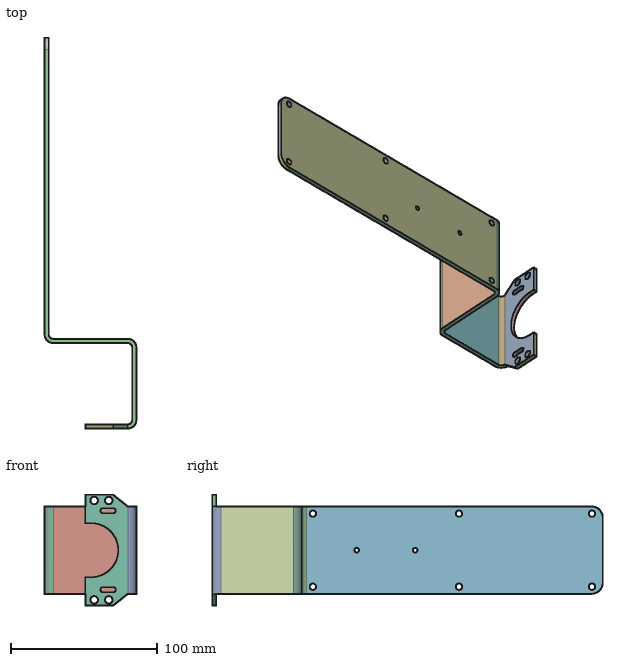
import cadquery as cq

SHEET = 3.0
INNER_BEND = 3.0
OUTER_BEND = INNER_BEND + SHEET

OVERALL_X = 63.0
OVERALL_Y = 267.5
STRIP_HEIGHT = 60.0
STEP_Y = 58.5
FLANGE_LEFT = 28.0

FLANGE_HEIGHT = 76.0
CHAMFER_START_X = 47.0
CHAMFER_END_X = OVERALL_X - OUTER_BEND
NOTCH_RADIUS = 18.5
NOTCH_CENTRE_X = 32.0
FLANGE_HOLE = 5.0
FLANGE_HOLES_X = (34.0, 44.0)
FLANGE_HOLE_Z = 34.0
SLOT_LENGTH = 10.5
SLOT_WIDTH = 3.5
SLOT_CENTRE_X = 43.5
SLOT_Z = 27.0

PLATE_CORNER_RADIUS = 8.0
MOUNT_HOLE = 4.2
MOUNT_HOLE_DISTANCES = (7.5, 98.5, 198.5)
MOUNT_HOLE_Z = 25.0
PILOT_HOLE = 3.0
PILOT_HOLE_DISTANCES = (128.5, 168.5)


def bent_strip():
    """Z-shaped strip with a returned front flange, with rounded bends."""
    step_back = STEP_Y + SHEET
    right_inner = OVERALL_X - SHEET
    strip = (
        cq.Workplane("XY")
        .workplane(offset=-STRIP_HEIGHT / 2)
        .moveTo(0, OVERALL_Y)
        .lineTo(0, STEP_Y)
        .lineTo(right_inner, STEP_Y)
        .lineTo(right_inner, SHEET)
        .lineTo(FLANGE_LEFT, SHEET)
        .lineTo(FLANGE_LEFT, 0)
        .lineTo(OVERALL_X, 0)
        .lineTo(OVERALL_X, step_back)
        .lineTo(SHEET, step_back)
        .lineTo(SHEET, OVERALL_Y)
        .close()
        .extrude(STRIP_HEIGHT)
    )
    outer_corners = ((0, STEP_Y), (OVERALL_X, step_back), (OVERALL_X, 0))
    inner_corners = ((SHEET, step_back), (right_inner, STEP_Y), (right_inner, SHEET))
    for corners, radius in ((outer_corners, OUTER_BEND), (inner_corners, INNER_BEND)):
        for x, y in corners:
            corner = cq.selectors.NearestToPointSelector((x, y, 0))
            strip = strip.edges("|Z").edges(corner).fillet(radius)
    return strip


def flange_ears():
    """Taller part of the front flange, with sloping corners towards the bend."""
    half_flange = FLANGE_HEIGHT / 2
    half_strip = STRIP_HEIGHT / 2
    return (
        cq.Workplane("XZ")
        .polyline(
            [
                (FLANGE_LEFT, -half_flange),
                (CHAMFER_START_X, -half_flange),
                (CHAMFER_END_X, -half_strip),
                (CHAMFER_END_X, half_strip),
                (CHAMFER_START_X, half_flange),
                (FLANGE_LEFT, half_flange),
            ]
        )
        .close()
        .extrude(-SHEET)
    )


def flange_cuts():
    """Round-ended notch, holes and slots through the front flange."""
    notch = (
        cq.Workplane("XZ")
        .moveTo(FLANGE_LEFT, NOTCH_RADIUS)
        .lineTo(NOTCH_CENTRE_X, NOTCH_RADIUS)
        .threePointArc((NOTCH_CENTRE_X + NOTCH_RADIUS, 0), (NOTCH_CENTRE_X, -NOTCH_RADIUS))
        .lineTo(FLANGE_LEFT, -NOTCH_RADIUS)
        .close()
        .extrude(-SHEET)
    )
    holes = (
        cq.Workplane("XZ")
        .pushPoints([(x, side * FLANGE_HOLE_Z) for x in FLANGE_HOLES_X for side in (-1, 1)])
        .circle(FLANGE_HOLE / 2)
        .extrude(-SHEET)
    )
    slots = (
        cq.Workplane("XZ")
        .pushPoints([(SLOT_CENTRE_X, side * SLOT_Z) for side in (-1, 1)])
        .slot2D(SLOT_LENGTH, SLOT_WIDTH)
        .extrude(-SHEET)
    )
    return notch.union(holes).union(slots)


def plate_holes(diameter, distances, heights):
    """Holes through the long plate at each distance from its far end and each height."""
    return (
        cq.Workplane("YZ")
        .pushPoints([(OVERALL_Y - distance, z) for distance in distances for z in heights])
        .circle(diameter / 2)
        .extrude(SHEET)
    )


bracket = bent_strip()
bracket = bracket.faces(">Y").edges("|X").fillet(PLATE_CORNER_RADIUS)
bracket = bracket.union(flange_ears()).cut(flange_cuts())
bracket = bracket.cut(plate_holes(MOUNT_HOLE, MOUNT_HOLE_DISTANCES, (-MOUNT_HOLE_Z, MOUNT_HOLE_Z)))
result = bracket.cut(plate_holes(PILOT_HOLE, PILOT_HOLE_DISTANCES, (0,)))